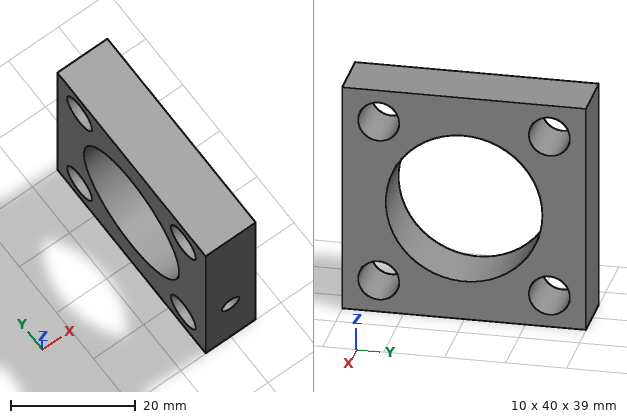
import cadquery as cq
import math

thickness = 10.0
width = 40.0
height = 39.0

bore_diameter = 25.7
bolt_diameter = 6.7
bolt_spacing = 28.0

drill_diameter = 3.45
drill_height = 13.0
drill_depth = 6.0
drill_tip_angle = 118.0


def make_plate():
    """Plate centred on the origin, with its bore and four bolt holes."""
    plate = cq.Workplane("YZ", origin=(-thickness / 2, 0, 0)).rect(width, height).extrude(thickness)
    holes = (
        cq.Workplane("YZ", origin=(-thickness / 2, 0, 0))
        .circle(bore_diameter / 2)
        .rect(bolt_spacing, bolt_spacing, forConstruction=True)
        .vertices()
        .circle(bolt_diameter / 2)
        .extrude(thickness)
    )
    return plate.cut(holes)


def make_drill():
    """Cylinder with a conical tip, pointing along +Y from the -Y side."""
    radius = drill_diameter / 2
    tip_length = radius / math.tan(math.radians(drill_tip_angle / 2))
    start = -width / 2
    shoulder = start + drill_depth
    profile = (
        cq.Workplane("XY")
        .moveTo(0, start)
        .lineTo(radius, start)
        .lineTo(radius, shoulder)
        .lineTo(0, shoulder + tip_length)
        .close()
    )
    drill = profile.revolve(360, (0, 0, 0), (0, 1, 0))
    return drill.translate((0, 0, drill_height - height / 2))


result = make_plate().cut(make_drill())